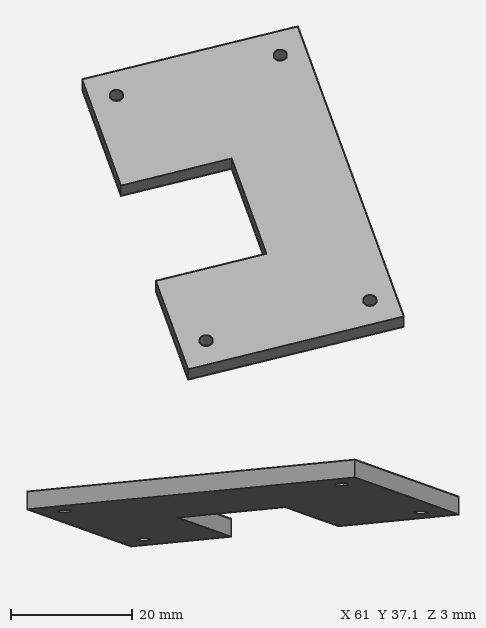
import cadquery as cq

plate_length = 60.96
plate_width = 37.15
plate_thickness = 3.0
left_edge = -plate_length / 2
front_edge = -plate_width / 2

notch_offset = 22.35
notch_length = 20.0
notch_depth = 19.05

hole_diameter = 2.2
hole_spacing_x = 51.53
hole_spacing_y = 28.2
first_hole_from_left = 4.73
first_hole_from_front = 4.5


def make_plate():
    return cq.Workplane("XY").box(
        plate_length, plate_width, plate_thickness, centered=(True, True, False)
    )


def cut_notch(body):
    notch = (
        cq.Workplane("XY")
        .box(notch_length, notch_depth, plate_thickness, centered=False)
        .translate((left_edge + notch_offset, front_edge, 0))
    )
    return body.cut(notch)


def cut_mounting_holes(body):
    pattern_center_x = left_edge + first_hole_from_left + hole_spacing_x / 2
    pattern_center_y = front_edge + first_hole_from_front + hole_spacing_y / 2
    holes = (
        cq.Workplane("XY")
        .center(pattern_center_x, pattern_center_y)
        .rarray(hole_spacing_x, hole_spacing_y, 2, 2)
        .circle(hole_diameter / 2)
        .extrude(plate_thickness)
    )
    return body.cut(holes)


plate = make_plate()
notched_plate = cut_notch(plate)
result = cut_mounting_holes(notched_plate)